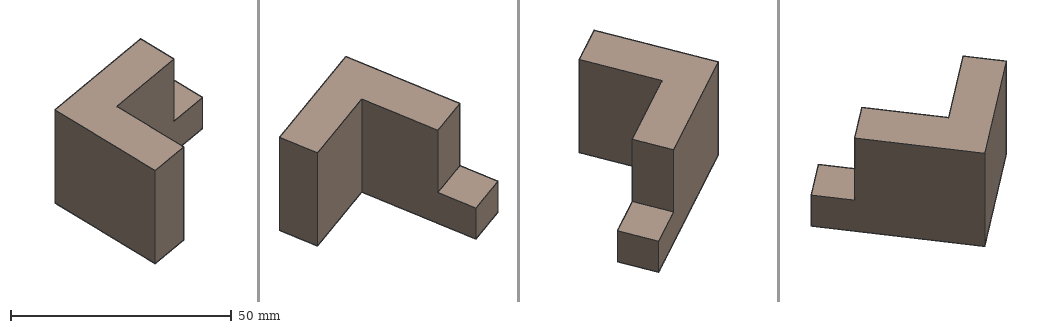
import cadquery as cq

wall = 10.0
width = 3 * wall
depth = 4 * wall
height = 3 * wall
step_length = wall
step_height = wall


def corner_block(size_x, size_y, size_z):
    """Box with its lower front-left corner at the origin."""
    return cq.Workplane("XY").box(size_x, size_y, size_z, centered=False)


front_wall = corner_block(width, wall, height)
side_wall = corner_block(wall, depth - step_length, height)

foot = corner_block(wall, depth, step_height)

result = front_wall.union(side_wall).union(foot).clean()